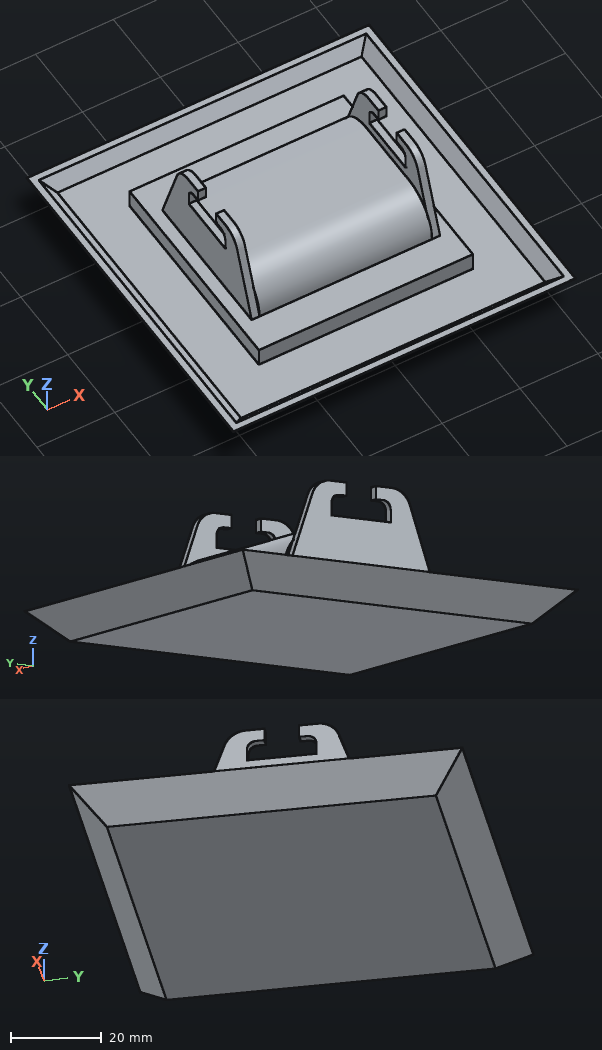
import cadquery as cq

tray_size = 88.0
tray_height = 7.2
rim_width = 1.9
recess_depth = 3.0

pad_size = 55.0
pad_top = 9.0

barrel_half_width = 19.0
barrel_radius = 10.0

plate_span = 48.4
plate_thickness = 2.0
plate_top = 29.5
plate_half_top = 11.6
shoulder_radius = 5.0

slot_half_width = 7.7
slot_floor = 21.7
slot_ceiling = 26.5
slot_corner_radius = 2.0
mouth_half_width = 3.9


def tapered_square(top_size, depth):
    """Square block below tray_height that narrows downward at 45 degrees."""
    return (
        cq.Workplane("XY", origin=(0, 0, tray_height))
        .rect(top_size, top_size)
        .workplane(offset=-depth)
        .rect(top_size - 2 * depth, top_size - 2 * depth)
        .loft(ruled=True)
    )


def make_tray():
    recess = tapered_square(tray_size - 2 * rim_width, recess_depth)
    return tapered_square(tray_size, tray_height).cut(recess)


def make_pad():
    floor = tray_height - recess_depth
    return (
        cq.Workplane("XY", origin=(0, 0, floor))
        .rect(pad_size, pad_size)
        .extrude(pad_top - floor)
    )


def make_barrel():
    """Block along X whose upper edges are full quarter rounds."""
    length = plate_span - 2 * plate_thickness
    block = cq.Workplane("XY", origin=(0, 0, pad_top)).box(
        length, 2 * barrel_half_width, barrel_radius, centered=(True, True, False)
    )
    rounded = (
        cq.Workplane("XY", origin=(0, 0, pad_top - barrel_radius))
        .box(length, 2 * barrel_half_width, 2 * barrel_radius, centered=(True, True, False))
        .edges("|X and >Z")
        .fillet(barrel_radius)
    )
    return block.intersect(rounded)


def make_plate(x_start):
    """Tapered end plate with rounded shoulders and a T-shaped slot."""
    plane = cq.Workplane("YZ", origin=(x_start, 0, 0))
    plate = (
        plane.polyline([
            (-barrel_half_width, pad_top),
            (barrel_half_width, pad_top),
            (plate_half_top, plate_top),
            (-plate_half_top, plate_top),
        ])
        .close()
        .extrude(plate_thickness)
        .edges("|X and >Z")
        .fillet(shoulder_radius)
    )
    slot = (
        plane.center(0, (slot_floor + slot_ceiling) / 2)
        .rect(2 * slot_half_width, slot_ceiling - slot_floor)
        .extrude(plate_thickness)
        .edges("|X and >Z")
        .fillet(slot_corner_radius)
    )
    mouth = (
        plane.center(0, (slot_floor + plate_top) / 2)
        .rect(2 * mouth_half_width, plate_top - slot_floor)
        .extrude(plate_thickness)
    )
    return plate.cut(slot).cut(mouth)


result = make_tray().union(make_pad()).union(make_barrel())
for x_start in (-plate_span / 2, plate_span / 2 - plate_thickness):
    result = result.union(make_plate(x_start))